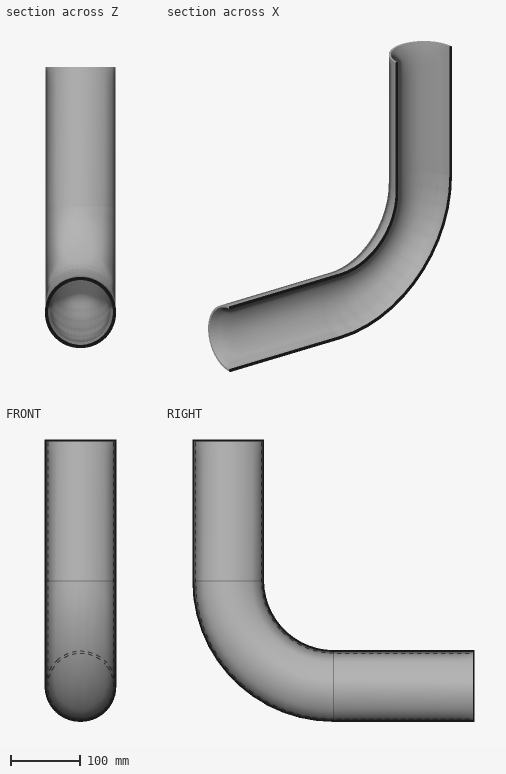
import cadquery as cq

outer_diameter = 101.6
inner_diameter = 95.5
bend_radius = 1.5 * outer_diameter
leg_length = 2 * outer_diameter
bend_angle = 90

outer_radius = outer_diameter / 2
inner_radius = inner_diameter / 2


def ring(plane):
    """Pipe cross-section: two concentric circles on the given plane."""
    return cq.Workplane(plane).circle(outer_radius).circle(inner_radius)


def make_vertical_leg():
    """Straight pipe rising along +Z from the upper end of the elbow."""
    return ring("XY").extrude(leg_length)


def make_elbow():
    """Quarter bend that turns from the Z direction to the +Y direction."""
    axis_start = (0, bend_radius)
    axis_end = (1, bend_radius)
    return ring("XY").revolve(bend_angle, axis_start, axis_end)


def make_horizontal_leg():
    """Straight pipe running along +Y from the lower end of the elbow."""
    elbow_end = cq.Plane(
        origin=(0, bend_radius, -bend_radius),
        xDir=(1, 0, 0),
        normal=(0, 1, 0),
    )
    return ring(elbow_end).extrude(leg_length)


result = make_vertical_leg().union(make_elbow()).union(make_horizontal_leg())